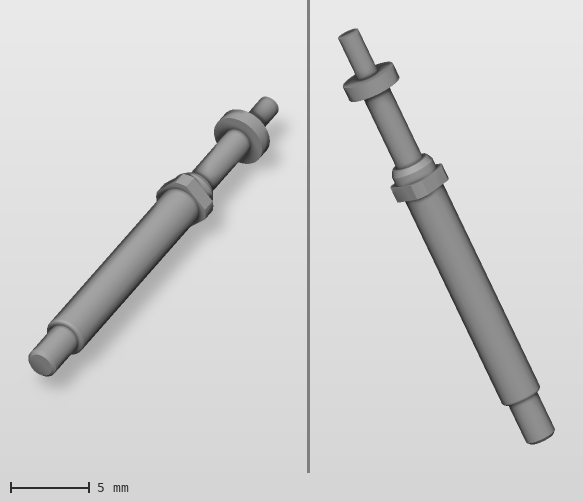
import cadquery as cq

length = 29.3
front_end = -length / 2
rear_end = length / 2

tip_diameter = 2.02
tip_length = 3.02
tip_chamfer = 0.2

barrel_diameter = 2.67
barrel_length = 14.97
barrel_fillet = 0.2

nut_corner_diameter = 3.6
nut_across_flats = 3.05
nut_length = 1.0
nut_turn = 45.0

shoulder_diameter = 2.85
shoulder_length = 1.0
shoulder_taper_length = 0.38
shoulder_taper_depth = 0.2

pin_diameter = 1.4
pin_length = 3.0
collar_diameter = 3.52
collar_length = 1.0

stem_diameter = 1.82

barrel_start = front_end + tip_length
nut_start = barrel_start + barrel_length
shoulder_start = nut_start + nut_length
stem_start = shoulder_start + shoulder_length
pin_start = rear_end - pin_length
collar_start = pin_start - collar_length


def plane_at(station):
    """Cross-section plane whose extrusions run toward +Y."""
    return cq.Workplane(cq.Plane(origin=(0, station, 0), xDir=(1, 0, 0), normal=(0, 1, 0)))


def cylinder(diameter, start, end):
    return plane_at(start).circle(diameter / 2).extrude(end - start)


def make_tip():
    tip = cylinder(tip_diameter, front_end, barrel_start)
    return tip.faces("<Y").chamfer(tip_chamfer)


def make_barrel():
    barrel = cylinder(barrel_diameter, barrel_start, nut_start)
    return barrel.faces("<Y").edges().fillet(barrel_fillet)


def make_nut():
    """Square with its flats at 45 degrees to X and Z, its corners cut by a cylinder."""
    square = plane_at(nut_start).rect(nut_across_flats, nut_across_flats).extrude(nut_length)
    square = square.rotate((0, 0, 0), (0, 1, 0), nut_turn)
    return square.intersect(cylinder(nut_corner_diameter, nut_start, shoulder_start))


def make_shoulder():
    """Round shoulder with a conical taper at its rear rim."""
    radius = shoulder_diameter / 2
    profile = [
        (0, shoulder_start),
        (radius, shoulder_start),
        (radius, stem_start - shoulder_taper_length),
        (radius - shoulder_taper_depth, stem_start),
        (0, stem_start),
    ]
    return cq.Workplane("XY").polyline(profile).close().revolve(360, (0, 0), (0, 1))


stem = cylinder(stem_diameter, stem_start, collar_start)
collar = cylinder(collar_diameter, collar_start, pin_start)
pin = cylinder(pin_diameter, pin_start, rear_end)

result = make_tip()
for section in (make_barrel(), make_nut(), make_shoulder(), stem, collar, pin):
    result = result.union(section)